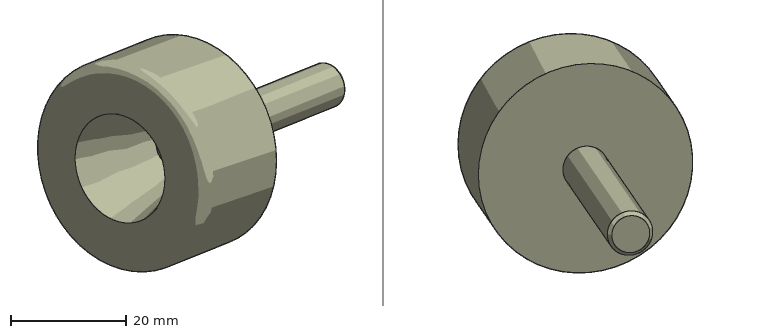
import cadquery as cq

total_length = 60.0
knob_length = 20.0
knob_diameter = 38.0
knob_radius = knob_diameter / 2
rim_fillet = 2.0
stud_radius = 4.0
stud_chamfer = 0.65

recess_mouth_radius = 9.8
recess_floor_radius = 5.0
recess_depth = 18.0
dome_radius = 4.6

front_y = -total_length / 2
knob_back_y = front_y + knob_length
stud_end_y = total_length / 2
recess_floor_y = front_y + recess_depth


def cylinder_along_y(radius, start_y, end_y):
    return cq.Workplane("XZ", origin=(0, start_y, 0)).circle(radius).extrude(start_y - end_y)


def make_knob():
    knob = cylinder_along_y(knob_radius, front_y, knob_back_y)
    return knob.faces("<Y").edges().fillet(rim_fillet)


def make_stud():
    stud = cylinder_along_y(stud_radius, recess_floor_y, stud_end_y)
    return stud.faces(">Y").edges().chamfer(stud_chamfer)


def make_recess():
    profile = (
        cq.Workplane("XY")
        .moveTo(0, front_y)
        .lineTo(recess_mouth_radius, front_y)
        .lineTo(recess_floor_radius, recess_floor_y)
        .lineTo(0, recess_floor_y)
        .close()
    )
    return profile.revolve(360, (0, 0, 0), (0, 1, 0))


def make_dome():
    """Hemisphere standing on the recess floor, its base in the floor plane."""
    profile = (
        cq.Workplane("XY")
        .moveTo(0, recess_floor_y)
        .lineTo(dome_radius, recess_floor_y)
        .radiusArc((0, recess_floor_y - dome_radius), dome_radius)
        .close()
    )
    return profile.revolve(360, (0, 0, 0), (0, 1, 0))


result = make_knob().cut(make_recess()).union(make_stud()).union(make_dome())